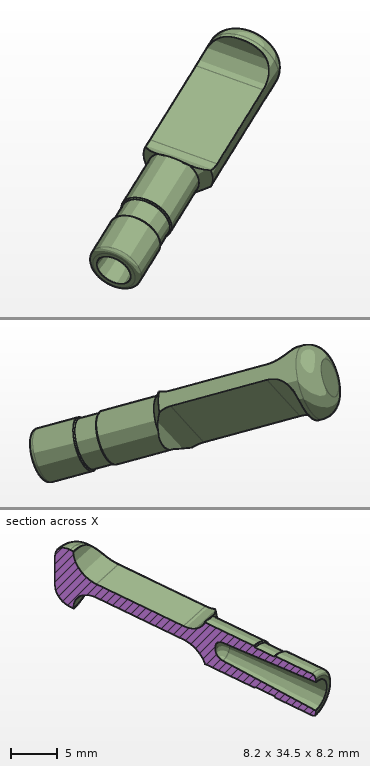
import cadquery as cq
import math

total_length = 34.5
head_radius = 4.1
head_round = 2.0

shank_radius = 3.0
shank_length = 15.0
tip_round = 0.5
shoulder_length = head_radius - shank_radius

groove_start = 5.35
groove_end = 8.15
groove_depth = 0.15

grip_thickness = 2.0
scoop_round = 3.0
scoop_start = 14.5
scoop_end = 32.0

bore_mouth_radius = 2.0
bore_floor_radius = 0.25
bore_bottom_round = 1.0
bore_taper = math.radians(3.5)


def revolve_about_y(profile):
    """Close a half profile (radius along X) and spin it around the pin axis."""
    return profile.close().revolve(360, (0, 0, 0), (0, 1, 0))


def make_pin():
    """Solid of revolution with the tip, shank, shoulder and domed head."""
    diagonal = math.sqrt(0.5)
    dome_start = total_length - head_round
    dome_middle = (
        head_radius - head_round + head_round * diagonal,
        dome_start + head_round * diagonal,
    )
    tip_middle = (
        shank_radius - tip_round + tip_round * diagonal,
        tip_round - tip_round * diagonal,
    )
    profile = (
        cq.Workplane("XY")
        .moveTo(0, 0)
        .lineTo(shank_radius - tip_round, 0)
        .threePointArc(tip_middle, (shank_radius, tip_round))
        .lineTo(shank_radius, shank_length)
        .lineTo(head_radius, shank_length + shoulder_length)
        .lineTo(head_radius, dome_start)
        .threePointArc(dome_middle, (head_radius - head_round, total_length))
        .lineTo(0, total_length)
    )
    return revolve_about_y(profile)


def make_groove():
    """Ring that cuts the groove, with 45 degree end walls."""
    floor_radius = shank_radius - groove_depth
    profile = (
        cq.Workplane("XY")
        .moveTo(shank_radius, groove_start)
        .lineTo(floor_radius, groove_start + groove_depth)
        .lineTo(floor_radius, groove_end - groove_depth)
        .lineTo(shank_radius, groove_end)
        .lineTo(head_radius, groove_end)
        .lineTo(head_radius, groove_start)
    )
    return revolve_about_y(profile)


def make_scoop():
    """Cutter above the grip, spanning the full width, with rounded floor corners."""
    length = scoop_end - scoop_start
    floor_z = grip_thickness / 2
    width = 3 * head_radius
    height = 2 * head_radius
    return (
        cq.Workplane("XY")
        .box(width, length, height, centered=(True, False, False))
        .translate((0, scoop_start, floor_z))
        .edges("|X and <Z")
        .fillet(scoop_round)
    )


def make_bore():
    """Tapered bore whose wall runs tangentially into the rounded bottom."""
    tangent_radius = bore_floor_radius + bore_bottom_round * math.cos(bore_taper)
    wall_depth = (bore_mouth_radius - tangent_radius) / math.tan(bore_taper)
    round_centre_y = wall_depth - bore_bottom_round * math.sin(bore_taper)
    middle_angle = (bore_taper + math.pi / 2) / 2
    round_middle = (
        bore_floor_radius + bore_bottom_round * math.cos(middle_angle),
        round_centre_y + bore_bottom_round * math.sin(middle_angle),
    )
    floor_depth = round_centre_y + bore_bottom_round
    profile = (
        cq.Workplane("XY")
        .moveTo(0, 0)
        .lineTo(bore_mouth_radius, 0)
        .lineTo(tangent_radius, wall_depth)
        .threePointArc(round_middle, (bore_floor_radius, floor_depth))
        .lineTo(0, floor_depth)
    )
    return revolve_about_y(profile)


upper_scoop = make_scoop()
lower_scoop = upper_scoop.mirror("XY")

result = make_pin().cut(make_groove()).cut(upper_scoop).cut(lower_scoop).cut(make_bore())